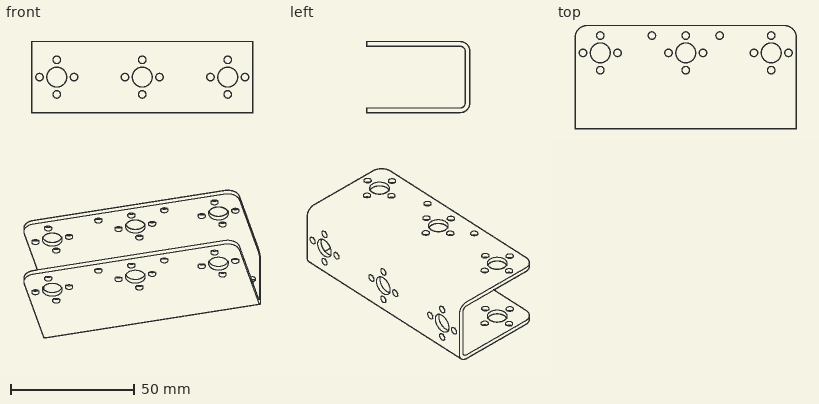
import cadquery as cq

length = 90.0
depth = 42.0
height = 29.0
thickness = 2.0
outer_bend_radius = 4.0
inner_bend_radius = outer_bend_radius - thickness
corner_radius = 4.95

bore_diameter = 8.0
screw_diameter = 3.0
screw_offset = 7.0
pattern_pitch = 34.7
pattern_to_free_edge = 11.2
extra_screw_offset = 13.8

web_face_y = -depth / 2
free_edge_y = depth / 2
flange_pattern_y = free_edge_y - pattern_to_free_edge
pattern_centers_x = [-pattern_pitch, 0, pattern_pitch]


def make_channel():
    """Bent sheet: a web with two flanges, rounded at the bends and free corners."""
    outer = (
        cq.Workplane("XY")
        .box(length, depth, height)
        .edges("|X and <Y")
        .fillet(outer_bend_radius)
        .edges("|Z and >Y")
        .fillet(corner_radius)
    )
    inner = (
        cq.Workplane("XY")
        .box(length, depth, height - 2 * thickness)
        .edges("|X and <Y")
        .fillet(inner_bend_radius)
        .translate((0, thickness, 0))
    )
    return outer.cut(inner)


def pattern_points(center_y):
    """Bore centres and surrounding screw centres for one row of hole patterns."""
    bores = [(x, center_y) for x in pattern_centers_x]
    screws = []
    for x in pattern_centers_x:
        screws += [(x - screw_offset, center_y), (x + screw_offset, center_y)]
        screws += [(x, center_y - screw_offset), (x, center_y + screw_offset)]
    return bores, screws


def make_cutters(plane, points, diameter, cut_length):
    """Cylinders along the plane's normal, starting at the plane."""
    return plane.pushPoints(points).circle(diameter / 2).extrude(cut_length)


flange_plane = cq.Workplane("XY", origin=(0, 0, -height / 2))
flange_bores, flange_screws = pattern_points(flange_pattern_y)
extra_screw_y = flange_pattern_y + screw_offset
flange_screws += [(-extra_screw_offset, extra_screw_y), (extra_screw_offset, extra_screw_y)]

web_plane = cq.Workplane("XZ", origin=(0, web_face_y + thickness, 0))
web_bores, web_screws = pattern_points(0)

result = (
    make_channel()
    .cut(make_cutters(flange_plane, flange_bores, bore_diameter, height))
    .cut(make_cutters(flange_plane, flange_screws, screw_diameter, height))
    .cut(make_cutters(web_plane, web_bores, bore_diameter, thickness))
    .cut(make_cutters(web_plane, web_screws, screw_diameter, thickness))
)